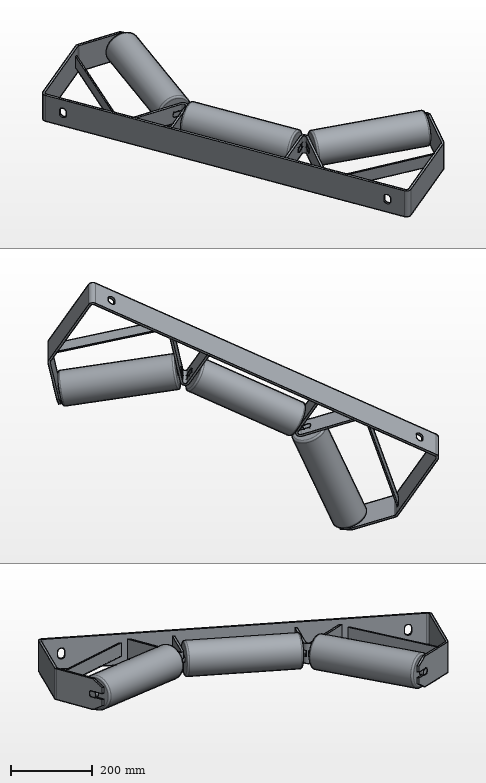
import cadquery as cq
import math


frame_length = 980.0
bar_width = 80.0
bar_thickness = 6.0
bend_radius = 12.0
shoulder_height = 215.5
arm_length = 148.0
tip_flat = 47.0
tip_cut_length = 29.0
mount_hole_width = 18.0
mount_hole_height = 28.0
mount_hole_x = 432.0

trough_angle = math.radians(40.0)
roller_diameter = 89.0
roller_length = 290.0
roller_edge_radius = 5.0
roller_gap = 4.5
shaft_diameter = 20.0
shaft_flat_width = 15.0
shaft_overhang = 1.0
tip_to_shaft = 29.42
centre_roller_y = 100.0

bracket_width = 52.0
bracket_bend_radius = 12.0
brace_thickness = 4.0
brace_width = 35.0
brace_top_y = 204.0
brace_angle = math.radians(44.5)

half_length = frame_length / 2
arm_dir = cq.Vector(math.sin(trough_angle), math.cos(trough_angle), 0)
axis_dir = cq.Vector(math.cos(trough_angle), -math.sin(trough_angle), 0)
shoulder = cq.Vector(-half_length, shoulder_height, 0)
seat_reach = roller_length / 2 + roller_gap
shaft_reach = seat_reach + bar_thickness + shaft_overhang
arm_seat = shoulder + arm_dir * (arm_length - tip_to_shaft)
side_roller_centre = arm_seat + axis_dir * (bar_thickness + seat_reach)
centre_roller_centre = cq.Vector(0, centre_roller_y, 0)
bracket_seat = side_roller_centre + axis_dir * seat_reach


def plate(points, height):
    """Extrude an XY outline, centred on Z = 0."""
    outline = [(p.x, p.y) for p in points]
    return cq.Workplane("XY").polyline(outline).close().extrude(height / 2, both=True)


def mirrored(body):
    return body.mirror("YZ")


def round_bend(body, corner, radius):
    """Round the Z edge that stands at an XY corner point."""
    box = cq.selectors.BoxSelector(
        (corner.x - 0.5, corner.y - 0.5, -bar_width), (corner.x + 0.5, corner.y + 0.5, bar_width)
    )
    return body.edges("|Z").edges(box).fillet(radius)


def axis_plane(centre, direction):
    """Workplane normal to a roller axis, its local Y pointing along Z."""
    across = cq.Vector(0, 0, 1).cross(direction) * -1
    return cq.Plane(origin=centre.toTuple(), xDir=across.toTuple(), normal=direction.toTuple())


def rod(centre, direction, diameter, length):
    """Cylinder centred on a point of the roller axis."""
    plane = axis_plane(centre - direction * (length / 2), direction)
    return cq.Workplane(plane).circle(diameter / 2).extrude(length)


def flatted_shaft(centre, direction, length):
    """Rod with two flats facing +Z and -Z."""
    plane = axis_plane(centre, direction)
    flats = cq.Workplane(plane).rect(shaft_diameter, shaft_flat_width).extrude(length, both=True)
    return rod(centre, direction, shaft_diameter, length).intersect(flats)


def make_roller(centre, direction):
    """Roller shell and its flatted shaft, as one body."""
    shell = rod(centre, direction, roller_diameter, roller_length)
    shell = shell.edges("%CIRCLE").fillet(roller_edge_radius)
    return shell.union(flatted_shaft(centre, direction, 2 * shaft_reach))


def shaft_slot(seat, direction, depth, opening):
    """Cutter for an open slot whose floor follows the shaft; depth runs both ways from the seat."""
    floor = flatted_shaft(seat, direction, 2 * depth)
    mouth = cq.Workplane(axis_plane(seat, direction)).center(-opening / 2, 0).rect(opening, shaft_flat_width)
    return floor.union(mouth.extrude(depth, both=True))


def make_frame():
    inset = bar_thickness * math.tan(trough_angle / 2)
    base_corner = cq.Vector(-half_length, 0, 0)
    inner_base = base_corner + cq.Vector(bar_thickness, bar_thickness, 0)
    inner_shoulder = shoulder + cq.Vector(bar_thickness, -inset, 0)
    tip = shoulder + arm_dir * arm_length
    inner_tip = tip + axis_dir * bar_thickness
    middle_outer = cq.Vector(0, 0, 0)
    middle_inner = cq.Vector(0, bar_thickness, 0)
    half = plate(
        [middle_outer, base_corner, shoulder, tip, inner_tip, inner_shoulder, inner_base, middle_inner],
        bar_width,
    )
    for outer, inner in ((base_corner, inner_base), (shoulder, inner_shoulder)):
        half = round_bend(half, outer, bend_radius)
        half = round_bend(half, inner, bend_radius - bar_thickness)

    cut = (bar_width - tip_flat) / 2
    for side in (-1, 1):
        corner = (
            cq.Workplane(axis_plane(tip, axis_dir))
            .moveTo(0, side * bar_width / 2)
            .lineTo(0, side * (bar_width / 2 - cut))
            .lineTo(tip_cut_length, side * bar_width / 2)
            .close()
            .extrude(bar_thickness, both=True)
        )
        half = half.cut(corner)
    half = half.cut(shaft_slot(arm_seat, axis_dir, 2 * bar_thickness, 2 * tip_to_shaft))
    hole = (
        cq.Workplane("XZ")
        .center(-mount_hole_x, 0)
        .slot2D(mount_hole_height, mount_hole_width, 90)
        .extrude(2 * bar_thickness, both=True)
    )
    half = half.cut(hole)
    return half.union(mirrored(half)).clean()


def make_bracket():
    """Left peaked bracket: a sloping leg for the side roller and an upright leg for the centre one."""
    upright_x = -seat_reach
    slope = arm_dir.y / arm_dir.x
    half_peak = trough_angle / 2

    def on_slope(x):
        return bracket_seat.y + (x - bracket_seat.x) * slope

    def slope_x(y):
        return bracket_seat.x + (y - bracket_seat.y) / slope

    foot_y = bar_thickness
    foot_width = bar_thickness / arm_dir.y
    peak = cq.Vector(upright_x, on_slope(upright_x), 0)
    inner_peak = peak - cq.Vector(bar_thickness, bar_thickness / math.tan(half_peak), 0)
    slope_foot = cq.Vector(slope_x(foot_y), foot_y, 0)
    body = plate(
        [
            slope_foot,
            peak,
            cq.Vector(upright_x, foot_y, 0),
            cq.Vector(upright_x - bar_thickness, foot_y, 0),
            inner_peak,
            slope_foot + cq.Vector(foot_width, 0, 0),
        ],
        bracket_width,
    )
    body = round_bend(body, peak, bracket_bend_radius)
    body = round_bend(body, inner_peak, bracket_bend_radius - bar_thickness)
    upright_seat = cq.Vector(upright_x, centre_roller_y, 0)
    for seat, direction in ((bracket_seat, axis_dir), (upright_seat, cq.Vector(1, 0, 0))):
        body = body.cut(shaft_slot(seat, direction, bar_thickness, roller_diameter))
    return body


def make_brace():
    """Left diagonal strut from the frame upright down to the base bar."""
    top = cq.Vector(-half_length + bar_thickness, brace_top_y, 0)
    run = (brace_top_y - bar_thickness) / math.tan(brace_angle)
    bottom = cq.Vector(top.x + run, bar_thickness, 0)
    drop = cq.Vector(0, brace_thickness / math.cos(brace_angle), 0)
    shift = cq.Vector(brace_thickness / math.sin(brace_angle), 0, 0)
    return plate([top, bottom, bottom - shift, top - drop], brace_width)


frame = make_frame()
left_bracket = make_bracket()
left_brace = make_brace()
centre_roller = make_roller(centre_roller_centre, cq.Vector(1, 0, 0))
left_roller = make_roller(side_roller_centre, axis_dir)

bodies = [frame, centre_roller]
for left_body in (left_bracket, left_brace, left_roller):
    bodies += [left_body, mirrored(left_body)]

result = cq.Compound.makeCompound([body.val() for body in bodies])